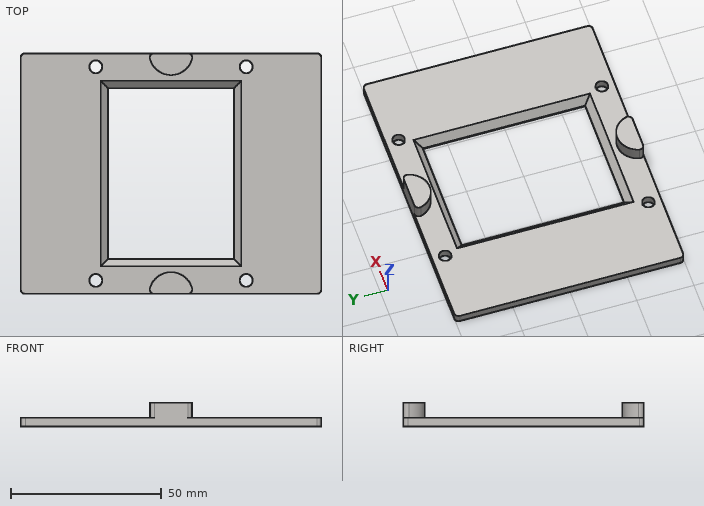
import cadquery as cq

plate_length = 100.0
plate_width = 80.0
plate_thickness = 3.0
plate_corner_radius = 1.5

window_length = 46.8
window_width = 61.7
window_slope_run = 2.5
window_land_height = 0.5

hole_diameter = 4.2
hole_spacing_x = 50.0
hole_spacing_y = 71.0

overall_height = 8.0
lug_diameter = 14.5
lug_corner_radius = 1.5
lug_height = overall_height - plate_thickness


def make_plate():
    """Flat plate with its underside at Z = 0 and rounded vertical corners."""
    plate = cq.Workplane("XY").box(
        plate_length, plate_width, plate_thickness, centered=(True, True, False)
    )
    return plate.edges("|Z").fillet(plate_corner_radius)


def make_window_cutter():
    """Upright block through the land, widening above it to the top face of the plate."""
    inner_length = window_length - 2 * window_slope_run
    inner_width = window_width - 2 * window_slope_run
    land = cq.Workplane("XY").rect(inner_length, inner_width).extrude(window_land_height)
    taper = (
        cq.Workplane("XY", origin=(0, 0, window_land_height))
        .rect(inner_length, inner_width)
        .workplane(offset=plate_thickness - window_land_height)
        .rect(window_length, window_width)
        .loft(ruled=True)
    )
    return land.union(taper)


def make_lug(side):
    """Half disc with its flat face flush with the plate edge at Y = side * plate_width / 2."""
    radius = lug_diameter / 2
    edge_y = side * plate_width / 2
    lug = (
        cq.Workplane("XY", origin=(0, edge_y, plate_thickness))
        .moveTo(-radius, 0)
        .threePointArc((0, -side * radius), (radius, 0))
        .close()
        .extrude(lug_height)
    )
    return lug.edges("|Z").fillet(lug_corner_radius)


result = make_plate().cut(make_window_cutter())
result = (
    result.faces(">Z")
    .workplane(origin=(0, 0, plate_thickness))
    .rect(hole_spacing_x, hole_spacing_y, forConstruction=True)
    .vertices()
    .hole(hole_diameter)
)
for side in (-1, 1):
    result = result.union(make_lug(side))